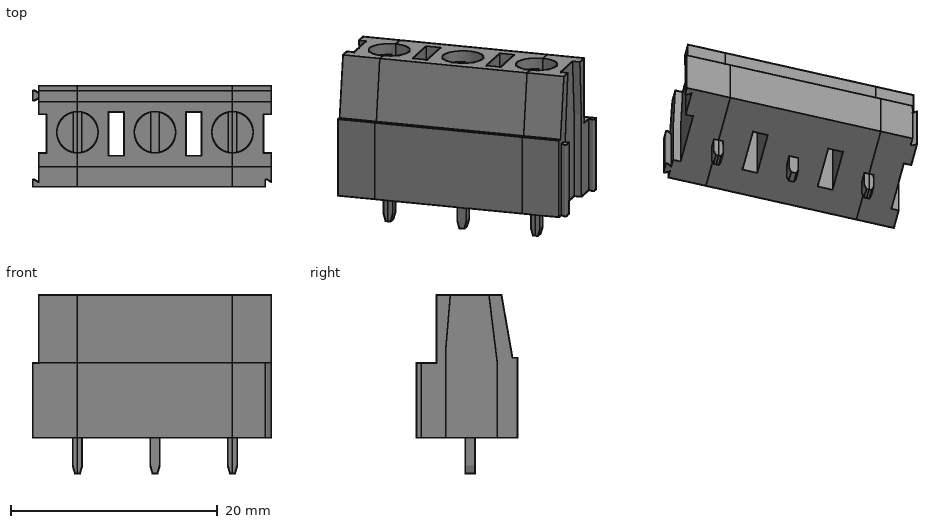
import cadquery as cq


OVERALL_LENGTH = 23.1
PITCH = 7.5
POLES = [-PITCH, 0, PITCH]
HALF_LENGTH = 1.5 * PITCH

DEPTH = 9.8
HEIGHT = 13.84
FRONT_STEP = 1.95
FRONT_STEP_Z = 7.25
BACK_STEP_Z = 7.76
BACK_SLOPE_FOOT_Y = 9.3
BACK_SLOPE_TOP_Y = 8.25

WELL_DIAMETER = 4.0
WELL_Y = 5.3
WELL_DEPTH = 1.09
SLOT_WIDTH = 0.8
SLOT_DEPTH = 0.7

OPENING_WIDTH = 1.48
OPENING_LENGTH = 4.2
OPENING_Y = 5.13

PIN_WIDTH = 0.92
PIN_THICKNESS = 0.97
PIN_LENGTH = 3.46
PIN_Y = 5.2
PIN_TIP_WIDTH = 0.5
PIN_TAPER = 0.76

RECESS_DEPTH = 0.75
RECESS_FRONT_Y = 2.82
RECESS_BACK_Y = 7.83
RECESS_TOP_FRONT_Y = 3.28
RECESS_TOP_BACK_Y = 7.02
RECESS_FRONT_KNEE_Z = 8.32
RECESS_BACK_KNEE_Z = FRONT_STEP_Z

RAIL_REACH = OVERALL_LENGTH - 2 * HALF_LENGTH
RAIL_FLARE = 0.35
RAIL_CORNER_RADIUS = 0.1
BACK_RAIL_Y = 8.85
BACK_RAIL_HALF_NECK = 0.25
FRONT_RAIL_NECK = 0.46


def block(x_start, x_end):
    """Stretch of the plain strip between two X positions."""
    outline = [
        (0, 0),
        (DEPTH, 0),
        (DEPTH, BACK_STEP_Z),
        (BACK_SLOPE_FOOT_Y, BACK_STEP_Z),
        (BACK_SLOPE_TOP_Y, HEIGHT),
        (FRONT_STEP, HEIGHT),
        (FRONT_STEP, FRONT_STEP_Z),
        (0, FRONT_STEP_Z),
    ]
    start_plane = cq.Workplane("YZ").workplane(offset=x_start)
    return start_plane.polyline(outline).close().extrude(x_end - x_start)


def screw_well(x):
    """Round well and the driver slot below its floor."""
    radius = WELL_DIAMETER / 2
    floor_z = HEIGHT - WELL_DEPTH
    well = cq.Workplane("XY", origin=(x, WELL_Y, floor_z)).circle(radius).extrude(WELL_DEPTH)
    slot_plane = cq.Workplane("XY", origin=(x, WELL_Y, floor_z - SLOT_DEPTH))
    slot = slot_plane.rect(SLOT_WIDTH, WELL_DIAMETER).extrude(SLOT_DEPTH)
    slot_limit = slot_plane.circle(radius).extrude(SLOT_DEPTH)
    return well.union(slot.intersect(slot_limit))


def solder_pin(x):
    """Flat pin below the underside, tapered at its tip."""
    half = PIN_WIDTH / 2
    half_tip = PIN_TIP_WIDTH / 2
    taper_z = PIN_TAPER - PIN_LENGTH
    outline = [
        (-half, 0),
        (half, 0),
        (half, taper_z),
        (half_tip, -PIN_LENGTH),
        (-half_tip, -PIN_LENGTH),
        (-half, taper_z),
    ]
    pin_plane = cq.Workplane("XZ", origin=(x, PIN_Y + PIN_THICKNESS / 2, 0))
    return pin_plane.polyline(outline).close().extrude(PIN_THICKNESS)


def opening(x):
    """Rectangular opening through the full height."""
    return cq.Workplane("XY", origin=(x, OPENING_Y, 0)).rect(OPENING_WIDTH, OPENING_LENGTH).extrude(HEIGHT)


def segment(x_start, x_end):
    """Stretch of the strip with its share of every well and pin that falls within it."""
    body = block(x_start, x_end)
    span = cq.Workplane("XY").box(x_end - x_start, DEPTH, PIN_LENGTH, centered=False)
    span = span.translate((x_start, 0, -PIN_LENGTH))
    for x in POLES:
        if x_start <= x <= x_end:
            body = body.cut(screw_well(x))
            body = body.union(solder_pin(x).intersect(span))
    return body


def end_recess(x_start):
    """Cutter for an end recess, from x_start over the recess depth."""
    outline = [
        (RECESS_FRONT_Y, 0),
        (RECESS_BACK_Y, 0),
        (RECESS_BACK_Y, RECESS_BACK_KNEE_Z),
        (RECESS_TOP_BACK_Y, HEIGHT),
        (RECESS_TOP_FRONT_Y, HEIGHT),
        (RECESS_FRONT_Y, RECESS_FRONT_KNEE_Z),
    ]
    start_plane = cq.Workplane("YZ").workplane(offset=x_start)
    return start_plane.polyline(outline).close().extrude(RECESS_DEPTH)


def back_rail():
    """Full dovetail rail on the left end face."""
    x_neck = -HALF_LENGTH
    x_tip = x_neck - RAIL_REACH
    half_tip = BACK_RAIL_HALF_NECK + RAIL_FLARE
    outline = [
        (x_neck, BACK_RAIL_Y + BACK_RAIL_HALF_NECK),
        (x_tip, BACK_RAIL_Y + half_tip),
        (x_tip, BACK_RAIL_Y - half_tip),
        (x_neck, BACK_RAIL_Y - BACK_RAIL_HALF_NECK),
    ]
    rail = cq.Workplane("XY").polyline(outline).close().extrude(FRONT_STEP_Z)
    return rail.edges("|Z and <X").fillet(RAIL_CORNER_RADIUS)


def front_rail(x_neck):
    """Half dovetail rail along the front face; the same shape also serves as its mating groove."""
    x_tip = x_neck - RAIL_REACH
    outline = [
        (x_neck, FRONT_RAIL_NECK),
        (x_tip, FRONT_RAIL_NECK + RAIL_FLARE),
        (x_tip, 0),
        (x_neck, 0),
    ]
    rail = cq.Workplane("XY").polyline(outline).close().extrude(FRONT_STEP_Z)
    return rail.edges("|Z and >Y").fillet(RAIL_CORNER_RADIUS)


def make_left_end():
    body = segment(-HALF_LENGTH, -PITCH)
    body = body.cut(end_recess(-HALF_LENGTH))
    return body.union(back_rail()).union(front_rail(-HALF_LENGTH))


def make_middle():
    body = segment(-PITCH, PITCH)
    for x in (-PITCH / 2, PITCH / 2):
        body = body.cut(opening(x))
    return body


def make_right_end():
    body = segment(PITCH, HALF_LENGTH)
    body = body.cut(end_recess(HALF_LENGTH - RECESS_DEPTH))
    return body.cut(front_rail(HALF_LENGTH))


left_end = make_left_end()
middle = make_middle()
right_end = make_right_end()

result = cq.Compound.makeCompound([left_end.val(), middle.val(), right_end.val()])